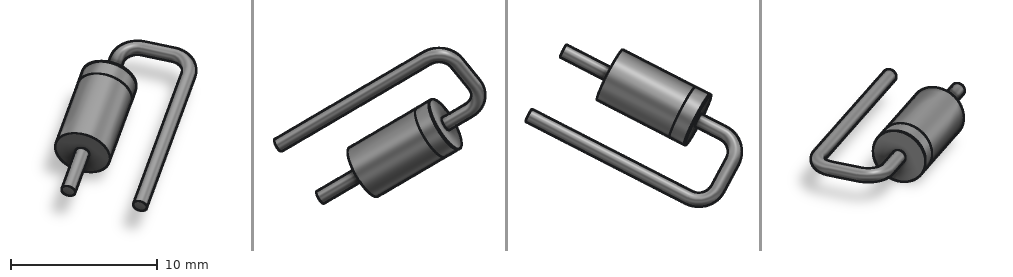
import cadquery as cq

total_length = 14.29
lead_spacing = 5.07
lead_diameter = 0.99
bend_radius = 1.47

body_diameter = 3.89
body_length = 6.8
body_start = 3.59

band_diameter = 3.9
band_width = 1.11
band_inset = 0.09

body_end = body_start + body_length
band_start = body_end - band_inset - band_width


def cylinder(diameter, start, length):
    """Cylinder around the Y axis, running along +Y from start."""
    return cq.Workplane("XZ", origin=(0, start, 0)).circle(diameter / 2).extrude(-length)


def make_lead():
    """Round wire running through the body, bent twice to return beside it."""
    cross_run = total_length - lead_diameter / 2
    bend_start = cross_run - bend_radius
    path = (
        cq.Workplane("XY")
        .lineTo(0, bend_start)
        .tangentArcPoint((bend_radius, cross_run), relative=False)
        .lineTo(lead_spacing - bend_radius, cross_run)
        .tangentArcPoint((lead_spacing, bend_start), relative=False)
        .lineTo(lead_spacing, 0)
    )
    return cq.Workplane("XZ").circle(lead_diameter / 2).sweep(path)


body = cylinder(body_diameter, body_start, body_length)
band = cylinder(band_diameter, band_start, band_width)

result = body.union(band).union(make_lead())